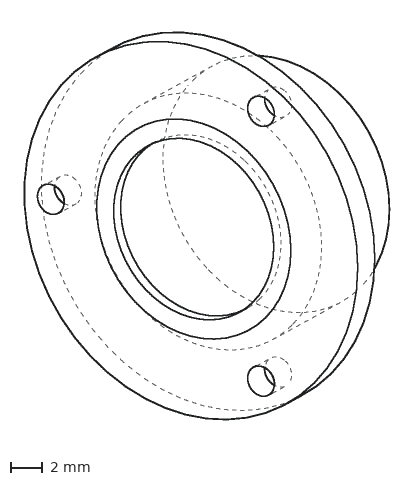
import cadquery as cq
import math

flange_radius = 12.5
flange_thickness = 2.0
hub_radius = 8.5
total_length = 10.0

recess_outer_radius = 8.65
recess_inner_radius = 7.28
bore_radius = 6.0
bore_depth = 1.15
crest_center_radius = 6.62
crest_rounding = 0.25
flank_angle = math.radians(30)

crest_half_width = crest_rounding * math.sin(flank_angle)
crest_edge_depth = crest_rounding * (1 - math.cos(flank_angle))
lip_outer_radius = crest_center_radius + crest_half_width
lip_inner_radius = crest_center_radius - crest_half_width
recess_depth = crest_edge_depth + (recess_inner_radius - lip_outer_radius) * math.tan(flank_angle)
bore_edge_depth = crest_edge_depth + (lip_inner_radius - bore_radius) * math.tan(flank_angle)

hole_count = 3
hole_diameter = 2.0
hole_circle_radius = 10.5
first_hole_angle = 180.0


def make_body():
    """Revolve the half section (radius, Y) about the Y axis."""
    section = (
        cq.Workplane("XY")
        .moveTo(0, bore_depth)
        .lineTo(bore_radius, bore_depth)
        .lineTo(bore_radius, bore_edge_depth)
        .lineTo(lip_inner_radius, crest_edge_depth)
        .threePointArc((crest_center_radius, 0), (lip_outer_radius, crest_edge_depth))
        .lineTo(recess_inner_radius, recess_depth)
        .lineTo(recess_outer_radius, 0)
        .lineTo(flange_radius, 0)
        .lineTo(flange_radius, flange_thickness)
        .lineTo(hub_radius, flange_thickness)
        .lineTo(hub_radius, total_length)
        .lineTo(0, total_length)
        .close()
    )
    return section.revolve(360, (0, 0), (0, 1))


def make_mounting_holes():
    """Evenly spaced pins that cut through the flange."""
    centers = []
    for index in range(hole_count):
        angle = math.radians(first_hole_angle + index * 360 / hole_count)
        centers.append((hole_circle_radius * math.cos(angle), hole_circle_radius * math.sin(angle)))
    return cq.Workplane("XZ").pushPoints(centers).circle(hole_diameter / 2).extrude(-flange_thickness)


result = make_body().cut(make_mounting_holes())